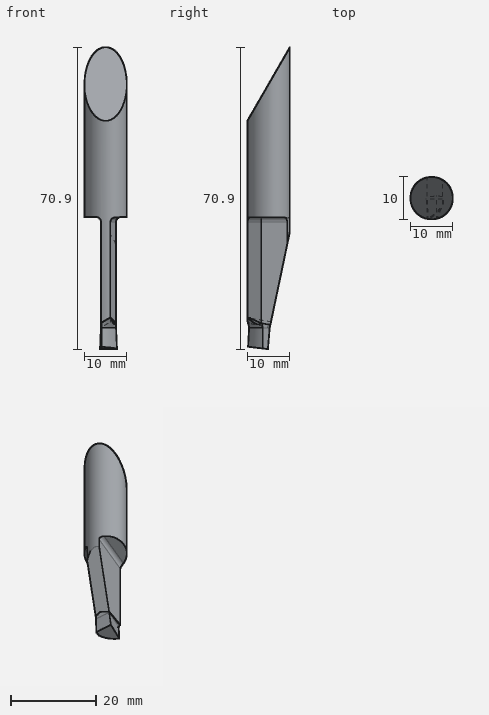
import cadquery as cq
import math

length = 70.9
shank_diameter = 10.0
radius = shank_diameter / 2
top_angle = 60.0
top_drop = shank_diameter * math.tan(math.radians(top_angle))
shank_bottom = 31.0

neck_left = -1.1
neck_right = 2.5
neck_fillet = 1.05
flat_front_x = 1.1
flat_front_y = -math.sqrt(radius**2 - flat_front_x**2)
flat_back_y = -1.7
taper_top = 27.5

seat_ridge = 7.45
seat_rise = 0.58
seat_tilt = 10.0

tip_shoulder = 5.0
tip_back = 0.3
tip_front = -4.6
tip_front_left = -0.85
tip_front_middle = (0.9, -3.4)
tip_front_right_y = -1.4
root_back = 0.85
cutting_back = -0.15
cutting_front = -4.9
cutting_left = -1.35
cutting_right = 2.7
cutting_front_middle = (0.9, -3.75)
end_clearance = 0.6

overshoot = 8.5


def tool_stock():
    """Shank and neck, continued down to the level of the tip shoulder."""
    flat_slope = (neck_right - flat_front_x) / (flat_back_y - flat_front_y)
    flat_end_x = neck_right - flat_slope * (overshoot + flat_back_y)
    blade = (
        cq.Workplane("XY")
        .workplane(offset=tip_shoulder)
        .moveTo(neck_left, overshoot)
        .lineTo(neck_left, -overshoot)
        .lineTo(flat_end_x, -overshoot)
        .lineTo(neck_right, flat_back_y)
        .lineTo(neck_right, overshoot)
        .close()
        .extrude(shank_bottom - tip_shoulder)
    )
    block = (
        cq.Workplane("XY")
        .workplane(offset=shank_bottom)
        .rect(2 * overshoot, 2 * overshoot)
        .extrude(length - shank_bottom)
    )
    roots = cq.selectors.BoxSelector(
        (neck_left - 0.7, -overshoot + 0.7, shank_bottom - 0.7),
        (neck_right + 0.7, overshoot - 0.7, shank_bottom + 0.7),
    )
    filleted = blade.union(block).edges(roots).fillet(neck_fillet)
    bar = cq.Workplane("XY").circle(radius).extrude(length)
    side_outline = (
        cq.Workplane("YZ")
        .moveTo(-radius, tip_shoulder)
        .lineTo(tip_back, tip_shoulder)
        .lineTo(radius, taper_top)
        .lineTo(radius, length)
        .lineTo(-radius, length - top_drop)
        .close()
        .extrude(overshoot, both=True)
    )
    return filleted.intersect(bar).intersect(side_outline)


def seat_space():
    """Region below the tilted V-shaped seat."""
    shoulder = seat_ridge - seat_rise * overshoot
    space = (
        cq.Workplane("XZ")
        .moveTo(flat_front_x, seat_ridge)
        .lineTo(flat_front_x + overshoot, shoulder)
        .lineTo(flat_front_x + overshoot, -overshoot)
        .lineTo(flat_front_x - overshoot, -overshoot)
        .lineTo(flat_front_x - overshoot, shoulder)
        .close()
        .extrude(2 * overshoot, both=True)
    )
    pivot = (0, flat_front_y, seat_ridge)
    return space.rotate(pivot, (1, flat_front_y, seat_ridge), -seat_tilt)


def tip_section(z, back_left, front_left, front_middle, front_right, back_right):
    """Tip cross-section with a convex front."""
    return (
        cq.Workplane("XY")
        .workplane(offset=z)
        .moveTo(*back_left)
        .lineTo(*front_left)
        .threePointArc(front_middle, front_right)
        .lineTo(*back_right)
        .close()
        .wires()
        .val()
    )


def make_tip(stock):
    root = tip_section(
        seat_ridge,
        (neck_left, root_back),
        (neck_left, -radius),
        (flat_front_x, flat_front_y),
        (neck_right, flat_back_y),
        (neck_right, root_back),
    )
    shoulder = tip_section(
        tip_shoulder,
        (neck_left, tip_back),
        (tip_front_left, tip_front),
        tip_front_middle,
        (neck_right, tip_front_right_y),
        (neck_right, tip_back),
    )
    end = tip_section(
        0,
        (cutting_left, cutting_back),
        (tip_front_left, cutting_front),
        cutting_front_middle,
        (cutting_right, tip_front_right_y),
        (cutting_right, cutting_back),
    )
    transition = cq.Workplane(cq.Solid.makeLoft([shoulder, root], True))
    wedge = transition.intersect(stock).intersect(seat_space())
    blade = cq.Workplane(cq.Solid.makeLoft([end, shoulder], True))
    clearance = (
        cq.Workplane("YZ")
        .moveTo(cutting_back, 0)
        .lineTo(cutting_front, 0)
        .lineTo(cutting_front, end_clearance)
        .close()
        .extrude(overshoot, both=True)
    )
    return blade.cut(clearance).union(wedge)


stock = tool_stock()
holder = stock.cut(seat_space())
tip = make_tip(stock)
result = cq.Compound.makeCompound([holder.solids().val(), tip.solids().val()])